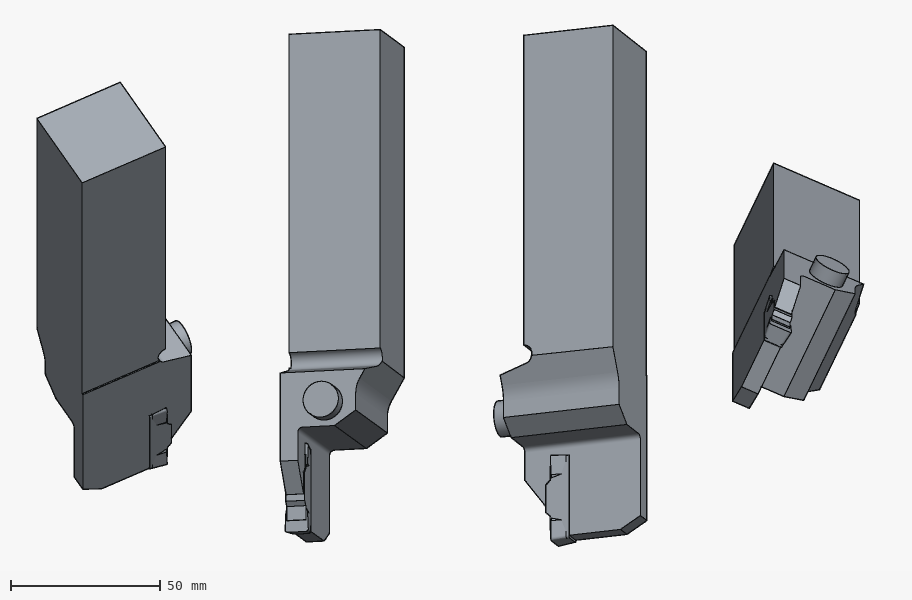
import cadquery as cq
import math

TOTAL_HEIGHT = 170.0
SHANK_WIDTH = 31.6
SHANK_DEPTH = 32.0
SIDE_DRAFT = 0.114
SHANK_BOTTOM = 57.3

HEAD_DEPTH = 41.5
HEAD_RIGHT = 32.1
HEAD_STEP_HEIGHT = 56.5
HEAD_LEFT = 6.0
FLANK_ANGLE = 30.0
FLANK_RADIUS = 10.2
CHIN_TOP = 38.6
CHIN_LEFT_END = 13.3
CHIN_BOTTOM = 33.7
SHOULDER_TOP = 52.5
SHOULDER_ANGLE = 15.0
RELIEF_RADIUS = 3.0
RELIEF_DEPTH = 2.9
NOSE_TOP = 22.5
NOSE_END_DEPTH = 34.0
NOSE_END_HEIGHT = 12.4

BLADE_LEFT = 26.0
BLADE_BOTTOM = 1.4
BLADE_FILLET = 1.7
BLADE_CHAMFER_Y = 7.1
BLADE_CHAMFER_Z = 4.0

STUD_DIAMETER = 12.2
STUD_X = 16.7
STUD_Z = 41.8
STUD_END = 46.8

INSERT_LENGTH = 30.1
INSERT_LEFT = 25.7
INSERT_BODY_WIDTH = 6.6
INSERT_CENTRE_X = INSERT_LEFT + INSERT_BODY_WIDTH / 2
CUTTING_WIDTH = 8.2
SEAT_Y = 25.5
RAKE_Y = 31.8
BREAKER_Y = 32.3
RIDGE_Y = 33.8
BREAKER_START = 3.9
BREAKER_END = 8.7
RIDGE_START = 10.2
END_CLEARANCE = 0.5
TIP_LENGTH = 7.0
RUNOUT_LENGTH = 1.0
CORNER_RADIUS = 0.8
TIP_BOTTOM_Y = 26.5
SIDE_RELIEF = 0.12
BACK_TAPER = 0.048


def extrude_along_x(points, start, end):
    """Extrude a polygon of (y, z) points from x = start to x = end."""
    return cq.Workplane("YZ", origin=(start, 0, 0)).polyline(points).close().extrude(end - start)


def make_front_shape():
    """Outline of shank, head and blade in X and Z, extruded over the head depth."""
    lean = math.radians(FLANK_ANGLE)
    corner_z = SHANK_BOTTOM - HEAD_LEFT / math.tan(lean)
    tangent = FLANK_RADIUS * math.tan(lean / 2)
    arc_start = (HEAD_LEFT - tangent * math.sin(lean), corner_z + tangent * math.cos(lean))
    arc_end = (HEAD_LEFT, corner_z - tangent)
    return (
        cq.Workplane("XZ")
        .moveTo(0, TOTAL_HEIGHT)
        .lineTo(0, SHANK_BOTTOM)
        .lineTo(*arc_start)
        .radiusArc(arc_end, FLANK_RADIUS)
        .lineTo(HEAD_LEFT, CHIN_TOP)
        .lineTo(CHIN_LEFT_END, CHIN_BOTTOM)
        .lineTo(BLADE_LEFT - BLADE_FILLET, CHIN_BOTTOM)
        .radiusArc((BLADE_LEFT, CHIN_BOTTOM - BLADE_FILLET), BLADE_FILLET)
        .lineTo(BLADE_LEFT, BLADE_BOTTOM)
        .lineTo(HEAD_RIGHT, BLADE_BOTTOM)
        .lineTo(HEAD_RIGHT, HEAD_STEP_HEIGHT)
        .lineTo(SHANK_WIDTH, HEAD_STEP_HEIGHT)
        .lineTo(SHANK_WIDTH, TOTAL_HEIGHT)
        .close()
        .extrude(-HEAD_DEPTH)
    )


def make_side_shape():
    """Outline of the holder in Y and Z, wide enough to trim the front shape."""
    slope = math.radians(SHOULDER_ANGLE)
    centre_y = SHANK_DEPTH - RELIEF_DEPTH + RELIEF_RADIUS
    tangent_y = centre_y - RELIEF_RADIUS * math.sin(slope)
    tangent_z = SHOULDER_TOP + (HEAD_DEPTH - tangent_y) * math.tan(slope)
    centre_z = tangent_z + RELIEF_RADIUS * math.cos(slope)
    groove_top = centre_z + math.sqrt(RELIEF_RADIUS**2 - (centre_y - SHANK_DEPTH) ** 2)
    return (
        cq.Workplane("YZ")
        .moveTo(0, TOTAL_HEIGHT)
        .lineTo(SHANK_DEPTH, TOTAL_HEIGHT)
        .lineTo(SHANK_DEPTH, groove_top)
        .threePointArc((centre_y - RELIEF_RADIUS, centre_z), (tangent_y, tangent_z))
        .lineTo(HEAD_DEPTH, SHOULDER_TOP)
        .lineTo(HEAD_DEPTH, NOSE_TOP)
        .lineTo(NOSE_END_DEPTH, NOSE_END_HEIGHT)
        .lineTo(SEAT_Y, NOSE_END_HEIGHT)
        .lineTo(SEAT_Y, BLADE_BOTTOM)
        .lineTo(BLADE_CHAMFER_Y, BLADE_BOTTOM)
        .lineTo(0, BLADE_BOTTOM + BLADE_CHAMFER_Z)
        .close()
        .extrude(HEAD_RIGHT)
    )


def make_side_draft():
    """Thin wedge that leans the left side of the shank."""
    return (
        cq.Workplane("XY")
        .polyline([(0, 0), (SIDE_DRAFT, 0), (0, SHANK_DEPTH)])
        .close()
        .extrude(TOTAL_HEIGHT)
    )


def make_stud():
    return (
        cq.Workplane("XZ", origin=(STUD_X, HEAD_DEPTH, STUD_Z))
        .circle(STUD_DIAMETER / 2)
        .extrude(HEAD_DEPTH - STUD_END)
    )


def insert_profile():
    """Insert side outline as (y, z) points, the same at both ends."""
    lower_end = [
        (SEAT_Y, END_CLEARANCE),
        (RAKE_Y, 0),
        (RAKE_Y, BREAKER_START),
        (BREAKER_Y, BREAKER_START),
        (BREAKER_Y, BREAKER_END),
        (RIDGE_Y, RIDGE_START),
    ]
    upper_end = [(y, INSERT_LENGTH - z) for y, z in reversed(lower_end)]
    return lower_end + upper_end


def round_end(shape, end):
    """Round the two side corners of an end face, chosen as "<Z" or ">Z"."""
    return shape.faces(end).edges("not |X").fillet(CORNER_RADIUS)


def make_tip():
    """Cutting tip at the lower end, narrowing downwards and away from its edge."""

    def half_width(y, z):
        return CUTTING_WIDTH / 2 - SIDE_RELIEF * (RAKE_Y - y) - BACK_TAPER * z

    def section(z_bottom, z_top, inset=0.0):
        top = half_width(RAKE_Y, z_top) - inset
        bottom = half_width(TIP_BOTTOM_Y, z_bottom) - inset
        corners = [(-bottom, TIP_BOTTOM_Y, z_bottom), (bottom, TIP_BOTTOM_Y, z_bottom),
                   (top, RAKE_Y, z_top), (-top, RAKE_Y, z_top)]
        points = [cq.Vector(INSERT_CENTRE_X + x, y, z) for x, y, z in corners]
        return cq.Wire.makePolygon(points, close=True)

    end_lift = END_CLEARANCE * (RAKE_Y - TIP_BOTTOM_Y) / (RAKE_Y - SEAT_Y)
    tip_back = section(TIP_LENGTH, TIP_LENGTH)
    tip = cq.Workplane(cq.Solid.makeLoft([section(end_lift, 0), tip_back], True))
    tip = round_end(tip, "<Z")

    runout_end = TIP_LENGTH + RUNOUT_LENGTH
    inset = half_width(RAKE_Y, runout_end) - INSERT_BODY_WIDTH / 2
    runout = cq.Solid.makeLoft([tip_back, section(runout_end, runout_end, inset)], True)
    return tip.union(cq.Workplane(runout))


def make_insert():
    body = extrude_along_x(insert_profile(), INSERT_LEFT, INSERT_LEFT + INSERT_BODY_WIDTH)
    body = round_end(round_end(body, "<Z"), ">Z")
    tip = make_tip()
    mirrored_tip = tip.mirror("XY", (0, 0, INSERT_LENGTH / 2))
    return body.union(tip).union(mirrored_tip)


def make_holder():
    seat = extrude_along_x(insert_profile(), 0, HEAD_RIGHT)
    return (
        make_front_shape()
        .intersect(make_side_shape())
        .cut(make_side_draft())
        .cut(seat)
        .union(make_stud())
    )


holder = make_holder()
insert = make_insert()

result = cq.Compound.makeCompound([holder.val(), insert.val()])